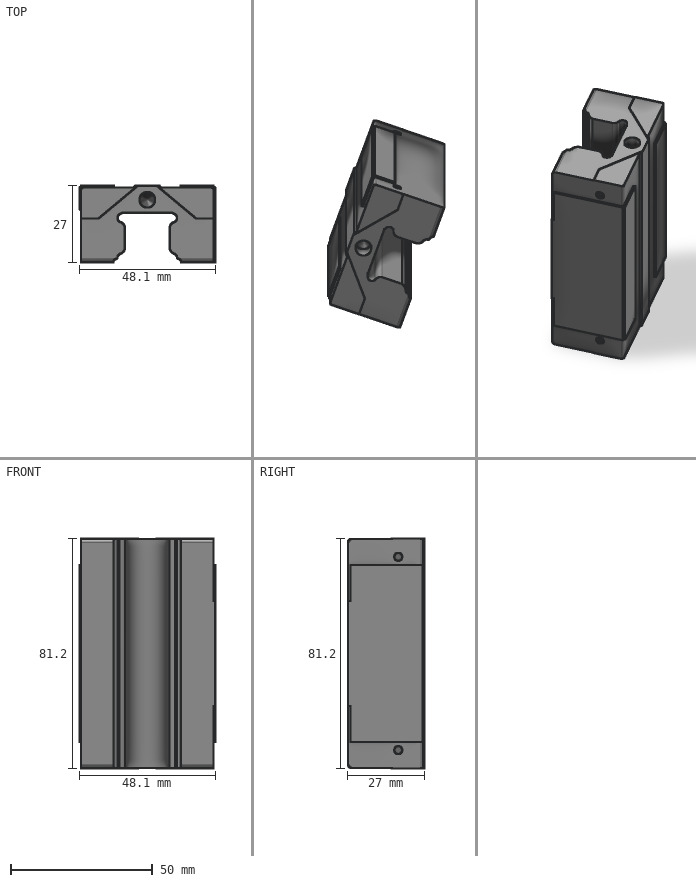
import cadquery as cq
import math

length = 81.2
height = 27.0
carriage_width = 46.85
plate_thickness = 0.6
corner_step = 0.2

half_width = carriage_width / 2
top = height / 2
bottom = -top
end_z = length / 2 - corner_step

shoulder_drop = 0.65
shoulder = top - shoulder_drop
back_round = 0.65
ridge_top_half = 4.2
ridge_base_half = ridge_top_half + shoulder_drop

ceiling = 3.9
ceiling_half = 8.8
groove_radius = 1.55
groove_x = 8.9
groove_y = 2.1
groove_start_angle = 60
groove_end_angle = -65
throat_half = 7.9
throat_top = -1.2
throat_bulge = (8.45, 0.0)
throat_bottom = -8.8
lip_end = (9.75, -10.6)
lip_bulge = (8.6, -10.0)
mouth_half = 10.5
mouth_top = -11.4
mouth_bottom = -12.1
mouth_ledge = (11.4, -12.5)
foot_inner = 11.85
foot_shoulder = -12.9
foot_round = 1.3

corner_bottom = 1.9
corner_flat_end = 17.3
corner_tip = 3.3

plate_length = 62.4
plate_top = 13.1
plate_bottom = 4.9
plate_chamfer = 0.3
pad_inner = 11.8
pad_outer = 23.3
notch_height = 0.8
clear_length = 36.95

end_hole_diameter = 5.5
end_hole_depth = 8.1
end_hole_y = 8.5
drill_angle = 118
side_hole_diameter = 2.85
side_hole_depth = 1.2
side_hole_y = 4.2
side_hole_spacing = 68.2

both_sides = (-1, 1)


def prism(points, start, end):
    """Extrude a closed XY polygon from one Z level to another."""
    return cq.Workplane("XY", origin=(0, 0, start)).polyline(points).close().extrude(end - start)


def groove_point(angle):
    """Point on the round groove at an angle in degrees from the +X direction."""
    return (
        groove_x + groove_radius * math.cos(math.radians(angle)),
        groove_y + groove_radius * math.sin(math.radians(angle)),
    )


def carriage_half():
    """The +X half of the carriage, with the ends of its foot rounded."""
    groove_start = groove_point(groove_start_angle)
    groove_end = groove_point(groove_end_angle)
    profile = (
        cq.Workplane("XY", origin=(0, 0, -end_z))
        .moveTo(0, ceiling)
        .lineTo(ceiling_half, ceiling)
        .lineTo(*groove_start)
        .threePointArc(groove_point(0), groove_end)
        .threePointArc(throat_bulge, (throat_half, throat_top))
        .lineTo(throat_half, throat_bottom)
        .threePointArc(lip_bulge, lip_end)
        .lineTo(mouth_half, mouth_top)
        .lineTo(mouth_half, mouth_bottom)
        .lineTo(*mouth_ledge)
        .lineTo(foot_inner, foot_shoulder)
        .lineTo(foot_inner, bottom)
        .lineTo(half_width, bottom)
        .lineTo(half_width, shoulder - back_round)
        .radiusArc((half_width - back_round, shoulder), -back_round)
        .lineTo(ridge_base_half, shoulder)
        .lineTo(ridge_top_half, top)
        .lineTo(0, top)
        .close()
    )
    half = profile.extrude(2 * end_z)
    return half.faces("<Y").edges("|X").fillet(foot_round)


def end_corners():
    """Thin raised corners on both ends, beside the sloping lines of the ridge."""
    outline = [
        (half_width, corner_bottom),
        (corner_flat_end, corner_bottom),
        (corner_tip, top),
        (ridge_top_half, top),
        (ridge_base_half, shoulder),
        (half_width - back_round, shoulder),
        (half_width, shoulder - back_round),
    ]
    corner = prism(outline, end_z, length / 2)
    pair = corner.union(corner.mirror("YZ"))
    return pair.union(pair.mirror("XY"))


def block_side(side, outer_bottom, inner_bottom):
    """Side plate together with the mounting pad over it; side is -1 or 1."""
    plate_x = half_width + plate_thickness
    points = [
        (pad_inner, top),
        (pad_outer, top),
        (pad_outer, plate_top),
        (plate_x - plate_chamfer, plate_top),
        (plate_x, plate_top - plate_chamfer),
        (plate_x, outer_bottom),
        (half_width, inner_bottom),
        (half_width - back_round, shoulder - back_round),
        (pad_inner, shoulder - back_round),
    ]
    return prism([(side * x, y) for x, y in points], -plate_length / 2, plate_length / 2)


def plate_notches():
    """Cuts at the foot of the +X plate where the end cap arms pass."""
    notch_length = (plate_length - clear_length) / 2
    notch_x = half_width + plate_thickness / 2
    notch_y = bottom + notch_height / 2
    notch_z = (clear_length + notch_length) / 2
    notch = cq.Workplane("XY").box(plate_thickness, notch_height, notch_length)
    upper = notch.translate((notch_x, notch_y, notch_z))
    return upper.union(upper.mirror("XY"))


def end_hole():
    """Drilled hole with a conical bottom, entering the +Z end."""
    radius = end_hole_diameter / 2
    cone = radius / math.tan(math.radians(drill_angle / 2))
    floor = end_z - end_hole_depth
    return (
        cq.Workplane("XZ")
        .polyline([(0, end_z), (radius, end_z), (radius, floor), (0, floor - cone)])
        .close()
        .revolve(360, (0, 0, 0), (0, 1, 0))
        .translate((0, end_hole_y, 0))
    )


def side_hole(side, end):
    """Shallow blind hole in the side face; side and end are -1 or 1."""
    mouth = cq.Vector(side * half_width, side_hole_y, end * side_hole_spacing / 2)
    inward = cq.Vector(-side, 0, 0)
    return cq.Workplane(cq.Solid.makeCylinder(side_hole_diameter / 2, side_hole_depth, mouth, inward))


half = carriage_half()
result = half.union(half.mirror("YZ")).union(end_corners())

result = result.union(block_side(1, bottom, bottom))
result = result.union(block_side(-1, plate_bottom + plate_thickness, plate_bottom))
result = result.cut(plate_notches())

hole = end_hole()
result = result.cut(hole).cut(hole.mirror("XY"))
for side in both_sides:
    for end in both_sides:
        result = result.cut(side_hole(side, end))